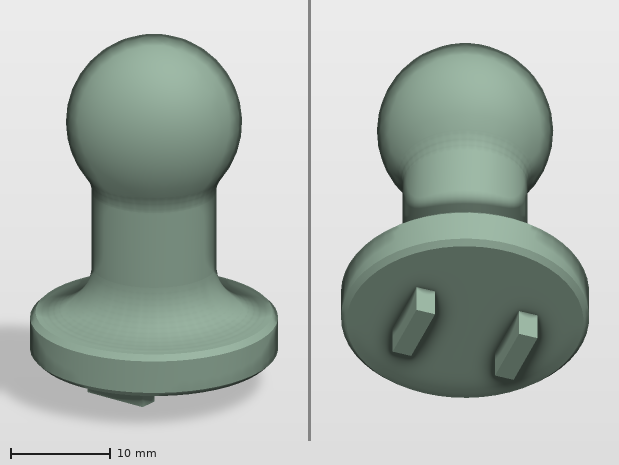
import cadquery as cq
import math

total_height = 36.9
flange_diameter = 25.0
flange_thickness = 4.5
flange_chamfer = 0.55
post_diameter = 12.6
cove_radius = 5.0
ball_diameter = 17.8
neck_radius = 3.0
foot_length = 7.0
foot_width = 2.0
foot_height = 3.0
foot_spacing = 11.0

flange_radius = flange_diameter / 2
post_radius = post_diameter / 2
ball_radius = ball_diameter / 2
flange_bottom = foot_height
flange_top = flange_bottom + flange_thickness
ball_center_z = total_height - ball_radius

neck_center_x = post_radius + neck_radius
center_distance = ball_radius + neck_radius
neck_drop = math.sqrt(center_distance**2 - neck_center_x**2)
neck_center_z = ball_center_z - neck_drop
neck_slope = math.atan2(neck_drop, neck_center_x)


def arc_point(center_x, center_z, radius, angle):
    """Point in the XZ plane at an angle (radians) around an arc centre."""
    return (center_x + radius * math.cos(angle), center_z + radius * math.sin(angle))


def make_stud():
    """Flange, post and ball revolved about Z from one half profile."""
    cove_center = (post_radius + cove_radius, flange_top + cove_radius)
    cove_middle = arc_point(*cove_center, cove_radius, math.radians(225))
    neck_middle_angle = math.pi - neck_slope / 2
    neck_middle = arc_point(neck_center_x, neck_center_z, neck_radius, neck_middle_angle)
    ball_start = arc_point(0, ball_center_z, ball_radius, -neck_slope)
    ball_side = (ball_radius, ball_center_z)
    profile = (
        cq.Workplane("XZ")
        .moveTo(0, flange_bottom)
        .lineTo(flange_radius - flange_chamfer, flange_bottom)
        .lineTo(flange_radius, flange_bottom + flange_chamfer)
        .lineTo(flange_radius, flange_top - flange_chamfer)
        .lineTo(flange_radius - flange_chamfer, flange_top)
        .lineTo(cove_center[0], flange_top)
        .threePointArc(cove_middle, (post_radius, cove_center[1]))
        .lineTo(post_radius, neck_center_z)
        .threePointArc(neck_middle, ball_start)
        .threePointArc(ball_side, (0, total_height))
        .close()
    )
    return profile.revolve(360, (0, 0, 0), (0, 1, 0))


def make_feet():
    """Two rectangular feet under the flange, side by side along Y."""
    return (
        cq.Workplane("XY")
        .pushPoints([(0, -foot_spacing / 2), (0, foot_spacing / 2)])
        .rect(foot_length, foot_width)
        .extrude(foot_height)
    )


result = make_stud().union(make_feet())